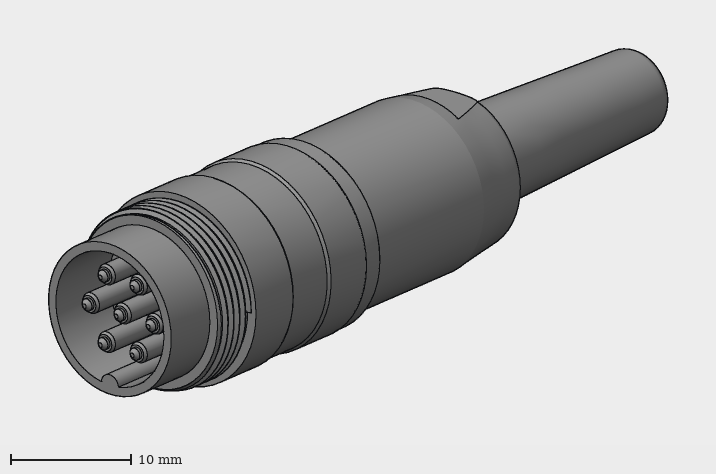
import cadquery as cq
import math

LENGTH = 67.4

NOSE_RADIUS = 6.75
SOCKET_RADIUS = 5.9
SOCKET_DEPTH = 6.75

KEY_RADIUS = 0.95
KEY_CREST_DISTANCE = 5.0

PIN_RADIUS = 1.8 / 2
PIN_SHOULDER_RADIUS = 1.5 / 2
PIN_BEVEL = 0.3
PIN_TIP_RADIUS = 0.55
PIN_TIP_LENGTH = 0.6
PIN_TIP_CHAMFER = 0.35
PIN_RECESS = 0.8
PIN_CIRCLE_RADIUS = 3.5
PIN_CIRCLE_COUNT = 6

THREAD_START = 4.9
THREAD_RADIUS = 16.0 / 2
THREAD_DEPTH = 0.4
THREAD_PITCH = 0.75
THREAD_TURNS = 6
THREAD_LEAD_IN = 0.7
THREAD_CREST_WIDTH = 0.1
THREAD_ROOT_WIDTH = 0.6
THREAD_EMBED = 0.15
THREAD_ROOT_RADIUS = THREAD_RADIUS - THREAD_DEPTH

SLEEVE_START = 8.75
SLEEVE_RADIUS = 17.0 / 2
BAND_START = 13.75
BAND_END = 18.05
BAND_RADIUS = 16.6 / 2
BAND_BEVEL = 0.3
COLLAR_START = 22.85
COLLAR_END = 25.1
COLLAR_RADIUS = 16.8 / 2
COLLAR_CHAMFER = 0.4

HOUSING_RADIUS = 7.75
TAPER_START = 38.7
HOUSING_END = 44.6
HOUSING_END_RADIUS = 6.95
HOUSING_FILLET = 0.8
FLAT_START = 40.2
FLAT_HEIGHT = 6.6

TAIL_BASE_RADIUS = 4.6
TAIL_TIP_RADIUS = 3.7
TAIL_FILLET = 1.1


def revolve_profile(points):
    """Turn (radius, y) points, closed along the axis, into a solid of revolution about Y."""
    return cq.Workplane("XY").polyline(points).close().revolve(360, (0, 0), (0, 1))


def cylinder(radius, start, end, z=0.0):
    """Cylinder parallel to Y between two positions."""
    plane = cq.Plane(origin=(0, start, z), xDir=(1, 0, 0), normal=(0, 1, 0))
    return cq.Workplane(plane).circle(radius).extrude(end - start)


def make_front():
    """Nose, thread core, coupling sleeve and rear collar."""
    return revolve_profile([
        (0, 0),
        (NOSE_RADIUS, 0),
        (NOSE_RADIUS, THREAD_START),
        (THREAD_ROOT_RADIUS, THREAD_START),
        (THREAD_ROOT_RADIUS, SLEEVE_START),
        (SLEEVE_RADIUS, SLEEVE_START),
        (SLEEVE_RADIUS, BAND_START - BAND_BEVEL),
        (BAND_RADIUS, BAND_START),
        (BAND_RADIUS, BAND_END),
        (SLEEVE_RADIUS, BAND_END + BAND_BEVEL),
        (SLEEVE_RADIUS, COLLAR_START),
        (COLLAR_RADIUS, COLLAR_START),
        (COLLAR_RADIUS, COLLAR_END - COLLAR_CHAMFER),
        (COLLAR_RADIUS - COLLAR_CHAMFER, COLLAR_END),
        (0, COLLAR_END),
    ])


def make_housing():
    """Housing with a tapered, rounded rear end and flats above and below."""
    housing = revolve_profile([
        (0, COLLAR_END),
        (HOUSING_RADIUS, COLLAR_END),
        (HOUSING_RADIUS, TAPER_START),
        (HOUSING_END_RADIUS, HOUSING_END),
        (0, HOUSING_END),
    ]).faces(">Y").edges().fillet(HOUSING_FILLET)
    flat_length = HOUSING_END - FLAT_START
    cut_height = HOUSING_RADIUS - FLAT_HEIGHT
    for side in (1, -1):
        flat = cq.Workplane("XY").box(2 * HOUSING_RADIUS, flat_length, cut_height)
        flat = flat.translate((0, FLAT_START + flat_length / 2, side * (FLAT_HEIGHT + cut_height / 2)))
        housing = housing.cut(flat)
    return housing


def make_tail():
    """Tapered cable tail with a rounded tip."""
    return revolve_profile([
        (0, HOUSING_END),
        (TAIL_BASE_RADIUS, HOUSING_END),
        (TAIL_TIP_RADIUS, LENGTH),
        (0, LENGTH),
    ]).faces(">Y").edges().fillet(TAIL_FILLET)


def make_thread():
    """Helical ridge rooted in the core, running into the sleeve, with a bevelled front end."""
    height = THREAD_PITCH * THREAD_TURNS
    inner = THREAD_ROOT_RADIUS - THREAD_EMBED
    helix = cq.Wire.makeHelix(THREAD_PITCH, height, inner)
    ridge = (
        cq.Workplane("XZ")
        .polyline([
            (inner, -THREAD_ROOT_WIDTH / 2),
            (THREAD_RADIUS, -THREAD_CREST_WIDTH / 2),
            (THREAD_RADIUS, THREAD_CREST_WIDTH / 2),
            (inner, THREAD_ROOT_WIDTH / 2),
        ])
        .close()
        .sweep(cq.Workplane(helix), isFrenet=True)
    )
    ridge = ridge.rotate((0, 0, 0), (1, 0, 0), -90)
    ridge = ridge.translate((0, SLEEVE_START - height, 0))
    lead_in_slope = THREAD_LEAD_IN / THREAD_DEPTH
    lead_in_end = THREAD_START + lead_in_slope * (SLEEVE_RADIUS - THREAD_ROOT_RADIUS)
    envelope = revolve_profile([
        (0, THREAD_START),
        (THREAD_ROOT_RADIUS, THREAD_START),
        (SLEEVE_RADIUS, lead_in_end),
        (SLEEVE_RADIUS, BAND_START),
        (0, BAND_START),
    ])
    return ridge.intersect(envelope)


def make_key():
    """Rounded rib along the socket wall, flush with the rim."""
    rib = cylinder(KEY_RADIUS, 0, SOCKET_DEPTH, z=-KEY_CREST_DISTANCE - KEY_RADIUS)
    return rib.intersect(cylinder(NOSE_RADIUS, 0, SOCKET_DEPTH))


def make_pin(x, z):
    """Contact pin on the socket floor: bevelled shoulder, then a thinner pointed tip."""
    shoulder = PIN_RECESS + PIN_TIP_LENGTH
    pin = revolve_profile([
        (0, PIN_RECESS),
        (PIN_TIP_RADIUS - PIN_TIP_CHAMFER, PIN_RECESS),
        (PIN_TIP_RADIUS, PIN_RECESS + PIN_TIP_CHAMFER),
        (PIN_TIP_RADIUS, shoulder),
        (PIN_SHOULDER_RADIUS, shoulder),
        (PIN_RADIUS, shoulder + PIN_BEVEL),
        (PIN_RADIUS, SOCKET_DEPTH),
        (0, SOCKET_DEPTH),
    ])
    return pin.translate((x, 0, z))


def pin_positions():
    """Centre pin, then the pins spaced evenly on their circle."""
    positions = [(0.0, 0.0)]
    for index in range(PIN_CIRCLE_COUNT):
        angle = 2 * math.pi * index / PIN_CIRCLE_COUNT
        positions.append((PIN_CIRCLE_RADIUS * math.cos(angle), PIN_CIRCLE_RADIUS * math.sin(angle)))
    return positions


result = make_front().union(make_housing()).union(make_tail()).union(make_thread())
result = result.cut(cylinder(SOCKET_RADIUS, 0, SOCKET_DEPTH)).union(make_key())
for pin_x, pin_z in pin_positions():
    result = result.union(make_pin(pin_x, pin_z))